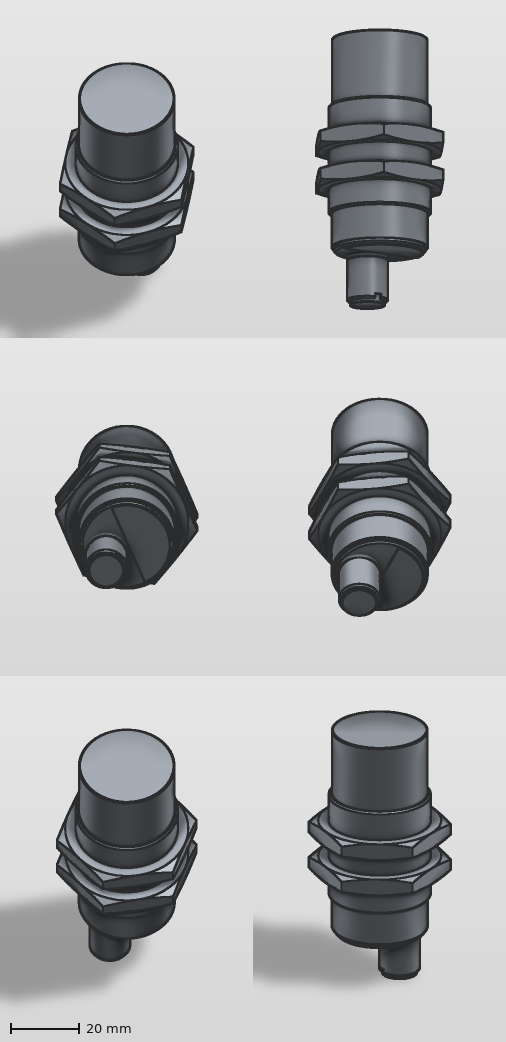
import cadquery as cq
import math

TOTAL_HEIGHT = 78.5
HEAD_DIAMETER = 28.0
HEAD_CHAMFER = 0.3
THREAD_DIAMETER = 30.0
THREAD_TOP_Z = 58.5
THREAD_BOTTOM_Z = 26.15
THREAD_UPPER_CHAMFER = 0.6
THREAD_LOWER_CHAMFER = 0.55
TAIL_DIAMETER = 28.2
TAIL_BOTTOM_Z = 16.25
CAP_DIAMETER = 27.0
CAP_CHAMFER = 0.6
CAP_BOTTOM_Z = 14.75

PAD_DIAMETER = 25.6
PAD_HEIGHT = 0.4
PAD_CHAMFER = 0.2
PAD_EDGE_Y = -0.5

PLUG_OFFSET_Y = 6.5
PLUG_DIAMETER = 12.0
PLUG_TOP_Z = 13.4
PLUG_CHAMFER = 0.6
NECK_DIAMETER = 11.5
NECK_FLARE = 0.7
PLUG_BOTTOM_Z = 1.0
TIP_DIAMETER = 10.4
TIP_CHAMFER = 0.2
KEYWAY_WIDTH = 2.1
KEYWAY_TOP_Z = 2.5

NUT_ACROSS_FLATS = 36.0
NUT_HEIGHT = 5.0
NUT_BOTTOM_HEIGHTS = (33.45, 44.7)
NUT_CORNER_DROP = 0.95

HEAD_RADIUS = HEAD_DIAMETER / 2
THREAD_RADIUS = THREAD_DIAMETER / 2
TAIL_RADIUS = TAIL_DIAMETER / 2
CAP_RADIUS = CAP_DIAMETER / 2
PLUG_RADIUS = PLUG_DIAMETER / 2
NECK_RADIUS = NECK_DIAMETER / 2
TIP_RADIUS = TIP_DIAMETER / 2


def revolve_about_z(outline):
    """Turn a closed (radius, Z) outline in the XZ plane into a solid of revolution."""
    return outline.close().revolve(360, (0, 0, 0), (0, 1, 0))


def make_barrel():
    outline = (
        cq.Workplane("XZ")
        .moveTo(0, CAP_BOTTOM_Z)
        .lineTo(CAP_RADIUS - CAP_CHAMFER, CAP_BOTTOM_Z)
        .lineTo(CAP_RADIUS, CAP_BOTTOM_Z + CAP_CHAMFER)
        .lineTo(CAP_RADIUS, TAIL_BOTTOM_Z)
        .lineTo(TAIL_RADIUS, TAIL_BOTTOM_Z)
        .lineTo(TAIL_RADIUS, THREAD_BOTTOM_Z)
        .lineTo(THREAD_RADIUS - THREAD_LOWER_CHAMFER, THREAD_BOTTOM_Z)
        .lineTo(THREAD_RADIUS, THREAD_BOTTOM_Z + THREAD_LOWER_CHAMFER)
        .lineTo(THREAD_RADIUS, THREAD_TOP_Z - THREAD_UPPER_CHAMFER)
        .lineTo(THREAD_RADIUS - THREAD_UPPER_CHAMFER, THREAD_TOP_Z)
        .lineTo(HEAD_RADIUS, THREAD_TOP_Z)
        .lineTo(HEAD_RADIUS, TOTAL_HEIGHT - HEAD_CHAMFER)
        .lineTo(HEAD_RADIUS - HEAD_CHAMFER, TOTAL_HEIGHT)
        .lineTo(0, TOTAL_HEIGHT)
    )
    return revolve_about_z(outline)


def make_pad():
    """Thin disc segment under the end cap, cut straight along X on the connector's side."""
    pad_bottom_z = CAP_BOTTOM_Z - PAD_HEIGHT
    disc = (
        cq.Workplane("XY", origin=(0, 0, pad_bottom_z))
        .circle(PAD_DIAMETER / 2)
        .extrude(PAD_HEIGHT)
        .faces("<Z")
        .chamfer(PAD_CHAMFER)
    )
    kept_half = (
        cq.Workplane("XY", origin=(0, PAD_EDGE_Y - PAD_DIAMETER / 2, pad_bottom_z))
        .box(PAD_DIAMETER, PAD_DIAMETER, PAD_HEIGHT, centered=(True, True, False))
    )
    return disc.intersect(kept_half)


def make_plug():
    """Connector with flared neck, bevelled shoulders and a smaller tip, at its offset place."""
    outline = (
        cq.Workplane("XZ")
        .lineTo(TIP_RADIUS - TIP_CHAMFER, 0)
        .lineTo(TIP_RADIUS, TIP_CHAMFER)
        .lineTo(TIP_RADIUS, PLUG_BOTTOM_Z)
        .lineTo(PLUG_RADIUS - PLUG_CHAMFER, PLUG_BOTTOM_Z)
        .lineTo(PLUG_RADIUS, PLUG_BOTTOM_Z + PLUG_CHAMFER)
        .lineTo(PLUG_RADIUS, PLUG_TOP_Z)
        .lineTo(NECK_RADIUS, PLUG_TOP_Z + PLUG_RADIUS - NECK_RADIUS)
        .lineTo(NECK_RADIUS, CAP_BOTTOM_Z - NECK_FLARE)
        .radiusArc((NECK_RADIUS + NECK_FLARE, CAP_BOTTOM_Z), NECK_FLARE)
        .lineTo(0, CAP_BOTTOM_Z)
    )
    plug = revolve_about_z(outline).cut(make_keyway_cutter())
    return plug.translate((0, PLUG_OFFSET_Y, 0))


def make_keyway_cutter():
    """Keyway in the -Y side of the plug, sunk to the diameter of the tip."""
    block = (
        cq.Workplane("XY", origin=(0, -PLUG_RADIUS, 0))
        .box(KEYWAY_WIDTH, PLUG_DIAMETER, KEYWAY_TOP_Z, centered=(True, True, False))
    )
    core = cq.Workplane("XY").circle(TIP_RADIUS).extrude(KEYWAY_TOP_Z)
    return block.cut(core)


def make_sensor_body():
    return make_barrel().union(make_pad()).union(make_plug())


def make_nut(bottom_z):
    """Hexagon nut with its corners on the X axis and conical bevels on both faces."""
    flat_radius = NUT_ACROSS_FLATS / 2
    corner_radius = flat_radius / math.cos(math.pi / 6)
    hexagon = cq.Workplane("XY").polygon(6, 2 * corner_radius).extrude(NUT_HEIGHT)
    bevel_outline = (
        cq.Workplane("XZ")
        .lineTo(flat_radius, 0)
        .lineTo(corner_radius, NUT_CORNER_DROP)
        .lineTo(corner_radius, NUT_HEIGHT - NUT_CORNER_DROP)
        .lineTo(flat_radius, NUT_HEIGHT)
        .lineTo(0, NUT_HEIGHT)
    )
    bore = cq.Workplane("XY").circle(THREAD_RADIUS).extrude(NUT_HEIGHT)
    nut = hexagon.intersect(revolve_about_z(bevel_outline)).cut(bore)
    return nut.translate((0, 0, bottom_z))


sensor_body = make_sensor_body()
nuts = [make_nut(bottom_z) for bottom_z in NUT_BOTTOM_HEIGHTS]

result = cq.Compound.makeCompound([sensor_body.val(), *[nut.val() for nut in nuts]])